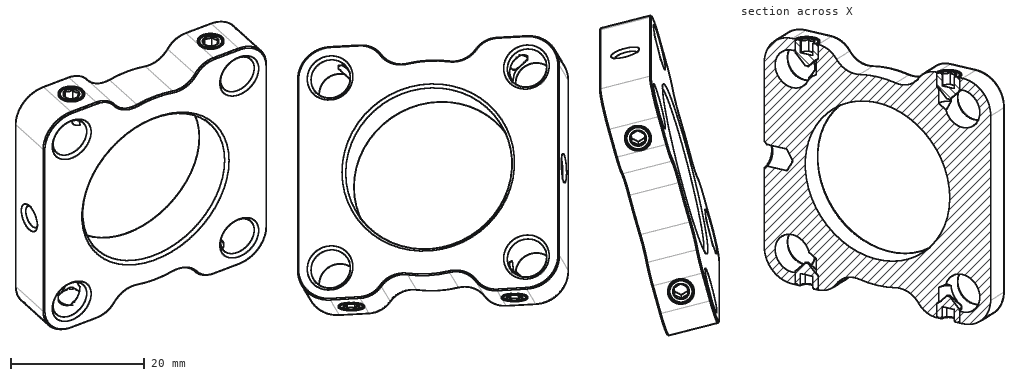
import cadquery as cq
import math

plate_side = 40.0
plate_thickness = 8.0
half_side = plate_side / 2
half_thickness = plate_thickness / 2
corner_radius = 5.0
edge_chamfer = 0.2

corners = [(y_side, z_side) for y_side in (1, -1) for z_side in (1, -1)]

waist_crown_radius = 17.0
shoulder_radius = 4.0
shoulder_start = 10.5
valley_radius = 4.0

bore_diameter = 25.4
bore_chamfer = 0.5

rod_hole_diameter = 6.0
rod_hole_offset = 15.0
rod_hole_chamfer = 0.5

mount_hole_diameter = 3.45
mount_hole_depth = 4.0
mount_hole_chamfer = 0.5
drill_point_angle = 118.0

screw_radius = 2.0
screw_hole_radius = 1.7
screw_offset = 12.5
screw_length = 4.0
screw_rim_chamfer = 0.3
screw_tip_radius = 0.3
screw_hole_depth = 5.0
hex_across_flats = 2.0
hex_depth = 2.0
socket_mouth_radius = 1.25
socket_turn = 18.0


def drill(radius, depth, mouth_chamfer):
    """Blind hole from the XY plane down, with a countersunk mouth and a conical drill point."""
    point_height = radius / math.tan(math.radians(drill_point_angle / 2))
    return (
        cq.Workplane("XZ")
        .moveTo(0, 0)
        .lineTo(radius + mouth_chamfer, 0)
        .lineTo(radius, -mouth_chamfer)
        .lineTo(radius, -depth)
        .lineTo(0, -depth - point_height)
        .close()
        .revolve(360, (0, 0, 0), (0, 1, 0))
    )


def point_toward(center, target, distance):
    """Point at a given distance from center along the direction to target."""
    span = math.dist(center, target)
    return tuple(c + (t - c) * distance / span for c, t in zip(center, target))


def waist_points():
    """Arc points of the +Y half of the top waist, from the shoulder to the crown."""
    shoulder_center = (shoulder_start, half_side - shoulder_radius)
    crown_reach = waist_crown_radius + valley_radius
    shoulder_reach = shoulder_radius + valley_radius
    span = math.hypot(*shoulder_center)
    along = (crown_reach**2 - shoulder_reach**2 + span**2) / (2 * span)
    across = math.sqrt(crown_reach**2 - along**2)
    uy, uz = shoulder_center[0] / span, shoulder_center[1] / span
    valley_center = (along * uy - across * uz, along * uz + across * uy)

    shoulder_top = (shoulder_start, half_side)
    shoulder_end = point_toward(shoulder_center, valley_center, shoulder_radius)
    crown_end = point_toward(valley_center, (0, 0), valley_radius)
    shoulder_chord_mid = tuple((a + b) / 2 for a, b in zip(shoulder_top, shoulder_end))
    valley_chord_mid = tuple((a + b) / 2 for a, b in zip(shoulder_end, crown_end))
    shoulder_mid = point_toward(shoulder_center, shoulder_chord_mid, shoulder_radius)
    valley_mid = point_toward(valley_center, valley_chord_mid, valley_radius)
    return shoulder_top, shoulder_mid, shoulder_end, valley_mid, crown_end


def plate_outline():
    """Closed plate outline on the YZ plane, before its four corners are rounded."""
    shoulder_top, shoulder_mid, shoulder_end, valley_mid, crown_end = waist_points()
    outline = cq.Workplane("YZ", origin=(-half_thickness, 0, 0)).moveTo(half_side, -half_side)
    for turn in (1, -1):

        def right(point):
            return (turn * point[0], turn * point[1])

        def left(point):
            return (-turn * point[0], turn * point[1])

        outline = (
            outline.lineTo(*right((half_side, half_side)))
            .lineTo(*right(shoulder_top))
            .threePointArc(right(shoulder_mid), right(shoulder_end))
            .threePointArc(right(valley_mid), right(crown_end))
            .threePointArc(right((0, waist_crown_radius)), left(crown_end))
            .threePointArc(left(valley_mid), left(shoulder_end))
            .threePointArc(left(shoulder_mid), left(shoulder_top))
            .lineTo(*left((half_side, half_side)))
        )
    return outline.close()


def through_hole(diameter, chamfer):
    """Cutter along X with a countersink at both plate faces."""
    radius = diameter / 2
    return (
        cq.Workplane("XY")
        .moveTo(-half_thickness, 0)
        .lineTo(-half_thickness, radius + chamfer)
        .lineTo(-half_thickness + chamfer, radius)
        .lineTo(half_thickness - chamfer, radius)
        .lineTo(half_thickness, radius + chamfer)
        .lineTo(half_thickness, 0)
        .close()
        .revolve(360, (0, 0, 0), (1, 0, 0))
    )


def place_screw_shape(shape, y_side, z_side):
    """Move a shape built downward from the origin to one of the four set screw places."""
    if z_side < 0:
        shape = shape.rotate((0, 0, 0), (1, 0, 0), 180)
    return shape.translate((0, y_side * screw_offset, z_side * half_side))


def make_plate():
    """Plate with its bore, rod holes, set screw holes and mounting hole."""
    plate = plate_outline().extrude(plate_thickness)
    for y_side, z_side in corners:
        corner = (0, y_side * half_side, z_side * half_side)
        plate = plate.edges(cq.selectors.NearestToPointSelector(corner)).fillet(corner_radius)
    plate = plate.faces("<X or >X").edges().chamfer(edge_chamfer)

    plate = plate.cut(through_hole(bore_diameter, bore_chamfer))
    rod_hole = through_hole(rod_hole_diameter, rod_hole_chamfer)
    screw_hole = drill(screw_hole_radius, screw_hole_depth, screw_rim_chamfer)
    for y_side, z_side in corners:
        plate = plate.cut(rod_hole.translate((0, y_side * rod_hole_offset, z_side * rod_hole_offset)))
        plate = plate.cut(place_screw_shape(screw_hole, y_side, z_side))
        plate = plate.cut(place_screw_shape(screw_body(), y_side, z_side))

    mount_hole = drill(mount_hole_diameter / 2, mount_hole_depth, mount_hole_chamfer)
    mount_hole = mount_hole.rotate((0, 0, 0), (1, 0, 0), 90).translate((0, -half_side, 0))
    return plate.cut(mount_hole)


def screw_body():
    """Screw without its socket, hanging down from the XY plane."""
    cone_height = screw_radius - screw_tip_radius
    return (
        cq.Workplane("XZ")
        .moveTo(0, 0)
        .lineTo(screw_radius - screw_rim_chamfer, 0)
        .lineTo(screw_radius, -screw_rim_chamfer)
        .lineTo(screw_radius, cone_height - screw_length)
        .lineTo(screw_tip_radius, -screw_length)
        .lineTo(0, -screw_length)
        .close()
        .revolve(360, (0, 0, 0), (0, 1, 0))
    )


def make_set_screw(y_side, z_side):
    """Headless screw with a hex socket and a conical tip, flush with the plate edge."""
    hex_corner_diameter = hex_across_flats / math.cos(math.pi / 6)
    hexagon = cq.Workplane("XY").polygon(6, hex_corner_diameter).extrude(-hex_depth)
    mouth_cone = cq.Solid.makeCone(socket_mouth_radius, 0, socket_mouth_radius, dir=(0, 0, -1))
    socket_mouth = cq.Workplane(mouth_cone)
    socket = hexagon.rotate((0, 0, 0), (0, 0, 1), socket_turn).union(socket_mouth)
    return place_screw_shape(screw_body().cut(socket), y_side, z_side)


plate = make_plate()
set_screws = [make_set_screw(y_side, z_side) for y_side, z_side in corners]
result = cq.Compound.makeCompound([plate.val(), *[screw.val() for screw in set_screws]])